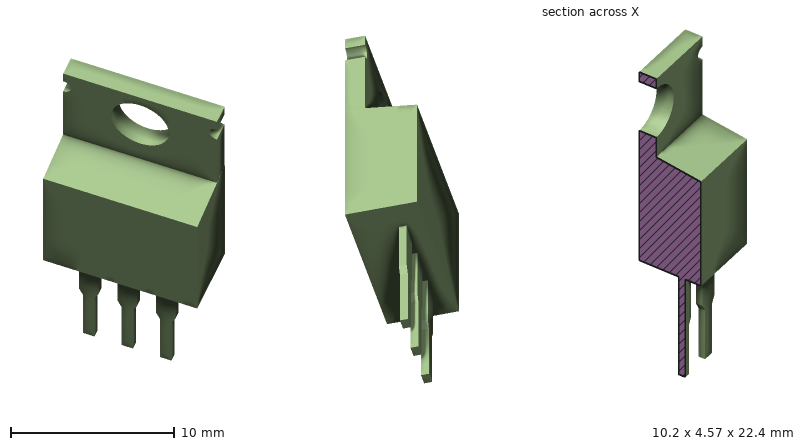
import cadquery as cq

WIDTH = 10.16
BODY_DEPTH = 4.57
BODY_FRONT_HEIGHT = 8.15
BODY_BACK_HEIGHT = 8.82

TAB_TOP = 14.73
TAB_INSET = 0.01
TAB_WIDTH = WIDTH - 2 * TAB_INSET
TAB_THICKNESS = 1.27
HOLE_DIAMETER = 3.81
HOLE_BELOW_TOP = 2.67
NOTCH_DIAMETER = 1.0
NOTCH_BELOW_TOP = 1.27

LEAD_COUNT = 3
LEAD_PITCH = 2.54
LEAD_LENGTH = 7.62
LEAD_THICKNESS = 0.5
LEAD_FRONT_Y = 1.15
SHOULDER_WIDTH = 1.27
SHOULDER_LENGTH = 3.3
TIP_WIDTH = 0.76
TIP_LENGTH = LEAD_LENGTH / 2


def extrude_along_y(sketch, front_y, thickness):
    """Extrude an XZ sketch towards +Y, starting at front_y."""
    return sketch.extrude(-thickness).translate((0, front_y, 0))


def make_body():
    """Moulded body whose top slopes down from back to front."""
    return (
        cq.Workplane("YZ")
        .moveTo(0, 0)
        .lineTo(BODY_DEPTH, 0)
        .lineTo(BODY_DEPTH, BODY_BACK_HEIGHT)
        .lineTo(0, BODY_FRONT_HEIGHT)
        .close()
        .extrude(WIDTH / 2, both=True)
    )


def make_tab():
    """Flat tab with a mounting hole and a half-round notch in each side edge."""
    front_y = BODY_DEPTH - TAB_INSET - TAB_THICKNESS
    plate = cq.Workplane("XZ").center(0, TAB_TOP / 2).rect(TAB_WIDTH, TAB_TOP)
    hole = cq.Workplane("XZ").center(0, TAB_TOP - HOLE_BELOW_TOP).circle(HOLE_DIAMETER / 2)
    notches = (
        cq.Workplane("XZ")
        .pushPoints([(side * TAB_WIDTH / 2, TAB_TOP - NOTCH_BELOW_TOP) for side in (-1, 1)])
        .circle(NOTCH_DIAMETER / 2)
    )
    tab = extrude_along_y(plate, front_y, TAB_THICKNESS)
    for opening in (hole, notches):
        tab = tab.cut(extrude_along_y(opening, front_y, TAB_THICKNESS))
    return tab


def make_lead(center_x):
    """Flat lead below the body: wide shoulder, short taper, narrow tip."""
    taper_bottom = TIP_LENGTH - LEAD_LENGTH
    outline = (
        cq.Workplane("XZ")
        .moveTo(-SHOULDER_WIDTH / 2, 0)
        .lineTo(-SHOULDER_WIDTH / 2, -SHOULDER_LENGTH)
        .lineTo(-TIP_WIDTH / 2, taper_bottom)
        .lineTo(-TIP_WIDTH / 2, -LEAD_LENGTH)
        .lineTo(TIP_WIDTH / 2, -LEAD_LENGTH)
        .lineTo(TIP_WIDTH / 2, taper_bottom)
        .lineTo(SHOULDER_WIDTH / 2, -SHOULDER_LENGTH)
        .lineTo(SHOULDER_WIDTH / 2, 0)
        .close()
    )
    return extrude_along_y(outline, LEAD_FRONT_Y, LEAD_THICKNESS).translate((center_x, 0, 0))


result = make_body().union(make_tab())
for index in range(LEAD_COUNT):
    lead_x = (index - (LEAD_COUNT - 1) / 2) * LEAD_PITCH
    result = result.union(make_lead(lead_x))